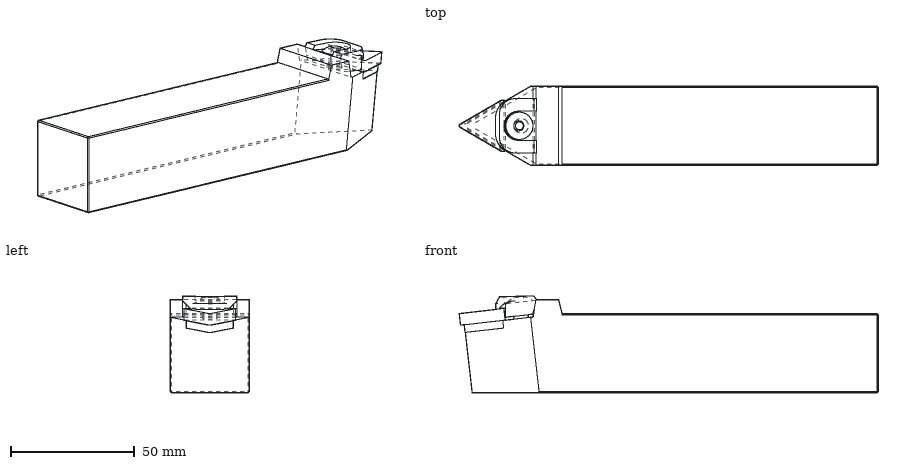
import cadquery as cq
import math

TOTAL_LENGTH = 169.21
WIDTH = 32.0
SHANK_HEIGHT = 32.0
SHANK_CHAMFER = 0.5

SHOULDER_TOP = 37.6
SHOULDER_WALL_FOOT_X = 29.8
SHOULDER_WALL_TOP_X = 31.0
SHOULDER_REAR_TOP_X = 40.2
SHOULDER_REAR_FOOT_X = 41.6

TILT = 6.5
INSERT_THICKNESS = 4.76
FLOOR_DEPTH = INSERT_THICKNESS
WEDGE_HALF_ANGLE = 30.0
WEDGE_LENGTH = 200.0
WEDGE_APEX = 0.8
HEAD_NOSE_RADIUS = 0.8

INSERT_INSCRIBED_RADIUS = 6.35
INSERT_CORNER_RADIUS = 0.8
PLATE_REAR = 3 * INSERT_INSCRIBED_RADIUS - INSERT_CORNER_RADIUS
SHIM_APEX = 0.3
SHIM_CORNER_RADIUS = 1.2
SHIM_THICKNESS = 3.1

CLAMP_TOP = 39.16
CLAMP_TOP_FRONT = 38.75
CLAMP_HALF_WIDTH = 10.95
CLAMP_FRONT_X = 16.5
CLAMP_CORNER_RADIUS = 6.0
CLAMP_REAR_X = 31.3
CLAMP_REAR_BEVEL = 1.1
CLAMP_REAR_BEVEL_DROP = 1.6
CLAMP_GAP = 1.1
HEEL_FRONT_X = 18.7
LIP_FRONT_X = 14.8
LIP_HALF_FLAT = 4.3
LIP_ARC_MID = (16.7, 8.4)
LIP_BEVEL_FOOT = 36.0
NOSE_BEVEL = 3.0

SCREW_POSITION = 24.7
STEM_DIAMETER = 5.9
STEM_EMBED = 1.0
SLOT_DIAMETER = 11.8
SLOT_FLOOR_DEPTH = -1.8
HEAD_DIAMETER = 11.0
HEAD_DOME_HEIGHT = 2.3
SOCKET_DIAMETER = 4.2
SOCKET_FLOOR_DIAMETER = 2.8
SOCKET_DEPTH = 3.2

TILT_SIN = math.sin(math.radians(TILT))
TILT_COS = math.cos(math.radians(TILT))


def seat_plane(depth):
    """Workplane parallel to the insert, the given depth below its top face."""
    origin = (depth * TILT_SIN, 0, SHANK_HEIGHT - depth * TILT_COS)
    plane = cq.Plane(origin=origin, xDir=(TILT_COS, 0, TILT_SIN), normal=(-TILT_SIN, 0, TILT_COS))
    return cq.Workplane(plane)


def triangle_plate(depth, thickness, apex, corner_radius):
    """Rounded triangle pointing to -X, from its sharp apex to the common rear edge."""
    half_rear = (PLATE_REAR - apex) * math.tan(math.radians(WEDGE_HALF_ANGLE))
    outline = [(apex, 0), (PLATE_REAR, -half_rear), (PLATE_REAR, half_rear)]
    plate = seat_plane(depth).polyline(outline).close().extrude(-thickness)
    seat_normal = cq.Vector(-TILT_SIN, 0, TILT_COS)
    return plate.edges(cq.selectors.ParallelDirSelector(seat_normal)).fillet(corner_radius)


def make_insert():
    return triangle_plate(0, INSERT_THICKNESS, -INSERT_CORNER_RADIUS, INSERT_CORNER_RADIUS)


def make_shim():
    return triangle_plate(INSERT_THICKNESS, SHIM_THICKNESS, SHIM_APEX, SHIM_CORNER_RADIUS)


def make_wedge():
    """Pointed plan outline of the head, tilted with the seat."""
    half_width = WEDGE_LENGTH * math.tan(math.radians(WEDGE_HALF_ANGLE))
    rear = WEDGE_APEX + WEDGE_LENGTH
    outline = [(WEDGE_APEX, 0), (rear, -half_width), (rear, half_width)]
    wedge = seat_plane(0).polyline(outline).close().extrude(WEDGE_LENGTH, both=True)
    nose_edge = cq.selectors.NearestToPointSelector((WEDGE_APEX, 0, SHANK_HEIGHT))
    return wedge.edges(nose_edge).fillet(HEAD_NOSE_RADIUS)


def make_shank():
    bar = cq.Workplane("XY").box(TOTAL_LENGTH, WIDTH, SHANK_HEIGHT, centered=(False, True, False))
    bar = bar.edges("|X or >X").chamfer(SHANK_CHAMFER)
    shoulder_base = SHANK_HEIGHT / 2
    shoulder_outline = [
        (0, shoulder_base),
        (SHOULDER_REAR_FOOT_X, shoulder_base),
        (SHOULDER_REAR_FOOT_X, SHANK_HEIGHT),
        (SHOULDER_REAR_TOP_X, SHOULDER_TOP),
        (0, SHOULDER_TOP),
    ]
    shoulder = cq.Workplane("XZ").polyline(shoulder_outline).close().extrude(WIDTH / 2, both=True)
    return bar.union(shoulder)


def floor_height(x, depth):
    """Height at x of the plane lying the given depth below the insert's top face."""
    return SHANK_HEIGHT - depth / TILT_COS + x * TILT_SIN / TILT_COS


def cut_seat(body):
    """Remove everything above the tilted floor in front of the shoulder wall."""
    seat_outline = [
        (-WIDTH, floor_height(-WIDTH, FLOOR_DEPTH)),
        (SHOULDER_WALL_FOOT_X, floor_height(SHOULDER_WALL_FOOT_X, FLOOR_DEPTH)),
        (SHOULDER_WALL_TOP_X, SHOULDER_TOP),
        (-WIDTH, SHOULDER_TOP),
    ]
    return body.cut(cq.Workplane("XZ").polyline(seat_outline).close().extrude(WIDTH, both=True))


def clamp_outline(z, front_x, half_flat, arc_mid):
    """Clamp plan at height z: a front flat, two corner arcs and straight sides."""
    mid_x, mid_y = arc_mid
    arc_end_x = CLAMP_FRONT_X + CLAMP_CORNER_RADIUS
    return (
        cq.Workplane("XY", origin=(0, 0, z))
        .moveTo(front_x, -half_flat)
        .threePointArc((mid_x, -mid_y), (arc_end_x, -CLAMP_HALF_WIDTH))
        .lineTo(CLAMP_REAR_X, -CLAMP_HALF_WIDTH)
        .lineTo(CLAMP_REAR_X, CLAMP_HALF_WIDTH)
        .lineTo(arc_end_x, CLAMP_HALF_WIDTH)
        .threePointArc((mid_x, mid_y), (front_x, half_flat))
        .close()
    )


def make_clamp():
    arc_rise = CLAMP_CORNER_RADIUS * math.sqrt(0.5)
    half_flat = CLAMP_HALF_WIDTH - CLAMP_CORNER_RADIUS
    top_arc_mid = (CLAMP_FRONT_X + CLAMP_CORNER_RADIUS - arc_rise, half_flat + arc_rise)
    lip = (LIP_FRONT_X, LIP_HALF_FLAT, LIP_ARC_MID)
    lip_wire = clamp_outline(LIP_BEVEL_FOOT, *lip).val()
    top_wire = clamp_outline(CLAMP_TOP, CLAMP_FRONT_X, half_flat, top_arc_mid).val()
    bevelled_top = cq.Workplane(cq.Solid.makeLoft([lip_wire, top_wire], True))
    plan = clamp_outline(0, *lip).extrude(LIP_BEVEL_FOOT).union(bevelled_top)
    heel_depth = FLOOR_DEPTH - CLAMP_GAP
    side_outline = [
        (LIP_FRONT_X, floor_height(LIP_FRONT_X, 0)),
        (HEEL_FRONT_X, floor_height(HEEL_FRONT_X, 0)),
        (HEEL_FRONT_X, floor_height(HEEL_FRONT_X, heel_depth)),
        (SHOULDER_WALL_FOOT_X, floor_height(SHOULDER_WALL_FOOT_X, heel_depth)),
        (CLAMP_REAR_X, CLAMP_TOP - CLAMP_REAR_BEVEL_DROP),
        (CLAMP_REAR_X - CLAMP_REAR_BEVEL, CLAMP_TOP),
        (LIP_FRONT_X, CLAMP_TOP_FRONT),
    ]
    side = cq.Workplane("XZ").polyline(side_outline).close().extrude(WIDTH / 2, both=True)
    return cut_screw_slot(plan.intersect(side).cut(make_lip_relief()))


def make_lip_relief():
    """Space under each side of the lip, in front of the round-cornered heel."""
    bevel_foot = floor_height(HEEL_FRONT_X, 0)
    inner = CLAMP_HALF_WIDTH - NOSE_BEVEL
    bevel_outline = [
        (inner, 0),
        (inner, bevel_foot),
        (WIDTH / 2, bevel_foot + WIDTH / 2 - inner),
        (WIDTH / 2, 0),
    ]
    relief_length = CLAMP_FRONT_X + CLAMP_CORNER_RADIUS
    bevel = cq.Workplane("YZ").polyline(bevel_outline).close().extrude(relief_length)
    core = (
        cq.Workplane("XY")
        .center(CLAMP_FRONT_X, 0)
        .box(WIDTH, 2 * CLAMP_HALF_WIDTH, 2 * CLAMP_TOP, centered=(False, True, True))
        .edges("|Z and <X")
        .fillet(CLAMP_CORNER_RADIUS)
    )
    behind_insert = (
        cq.Workplane("XY")
        .center(HEEL_FRONT_X, 0)
        .box(WIDTH, WIDTH, 2 * CLAMP_TOP, centered=(False, True, True))
    )
    heel = core.intersect(behind_insert)
    return bevel.union(bevel.mirror("XZ")).cut(heel)


def screw_plane():
    """Workplane on the slot floor, centred on the screw axis."""
    return seat_plane(SLOT_FLOOR_DEPTH).center(SCREW_POSITION, 0)


def cut_screw_slot(clamp):
    """Round-ended slot for the screw head, open at the rear of the clamp."""
    slot_end = screw_plane().circle(SLOT_DIAMETER / 2).extrude(SHANK_HEIGHT)
    slot_run = (
        screw_plane()
        .center(CLAMP_REAR_X / 2, 0)
        .rect(CLAMP_REAR_X, SLOT_DIAMETER)
        .extrude(SHANK_HEIGHT)
    )
    return clamp.cut(slot_end).cut(slot_run)


def make_screw():
    """Stem down to the seat and a domed head with a tapered socket."""
    stem_length = FLOOR_DEPTH + STEM_EMBED - SLOT_FLOOR_DEPTH
    stem = screw_plane().circle(STEM_DIAMETER / 2).extrude(-stem_length)
    radius = HEAD_DIAMETER / 2
    sphere_radius = (radius ** 2 + HEAD_DOME_HEIGHT ** 2) / (2 * HEAD_DOME_HEIGHT)
    ball = screw_plane().workplane(offset=HEAD_DOME_HEIGHT - sphere_radius).sphere(sphere_radius)
    head = screw_plane().circle(radius).extrude(HEAD_DOME_HEIGHT).intersect(ball)
    socket = (
        screw_plane()
        .workplane(offset=HEAD_DOME_HEIGHT)
        .circle(SOCKET_DIAMETER / 2)
        .workplane(offset=-SOCKET_DEPTH)
        .circle(SOCKET_FLOOR_DIAMETER / 2)
        .loft()
    )
    return stem.union(head).cut(socket)


insert = make_insert()
holder = cut_seat(make_shank().intersect(make_wedge()))
holder = holder.union(make_shim()).union(make_clamp()).union(make_screw()).cut(insert)

result = cq.Compound.makeCompound([*holder.vals(), insert.val()])